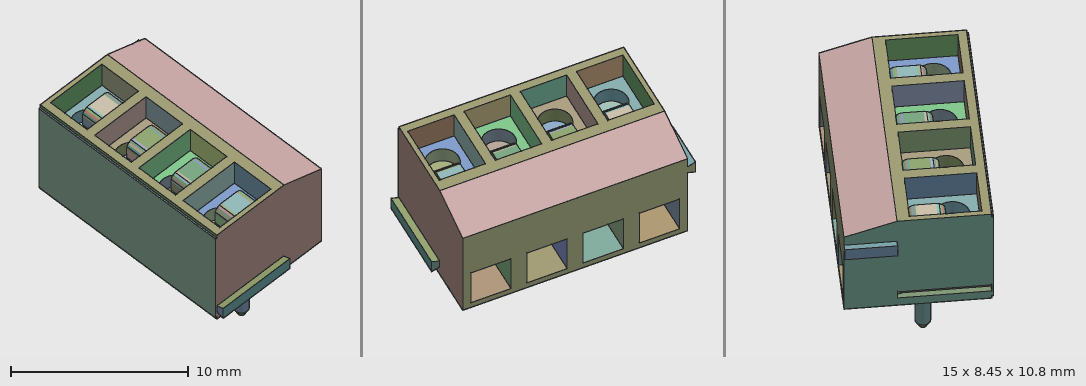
import cadquery as cq
import math


POLES = 4
TOTAL_LENGTH = 14.99
RIDGE_DEPTH = 0.5
LENGTH = TOTAL_LENGTH - 2 * RIDGE_DEPTH
PITCH = LENGTH / POLES
TOTAL_DEPTH = 8.45
HEIGHT = 7.06
SLOPE_RUN = 3
SLOPE_DROP = 1.0

PANEL_THICKNESS = 0.1
PANEL_BOTTOM_MARGIN = 0.2
PANEL_TOP_MARGIN = 0.24

POCKET_WIDTH = 2.9
POCKET_FRONT_WALL = 0.63
POCKET_LENGTH = 4.09
POCKET_DEPTH = 1.77
WELL_DIAMETER = 2.01
WELL_DEPTH = 1.0
WELL_Y = 2.15

CLAMP_WIDTH = 1.51
CLAMP_FRONT = 2.47
CLAMP_FLAT_LENGTH = 1.18
CLAMP_RISE = 0.22
CLAMP_RADIUS = 0.51
FRONT_FACETS = 5
BACK_FACETS = 4

RIDGE_ROOT = 0.51
RIDGE_TIP = 0.84
UPPER_RIDGE_Z = 5.13
LOWER_RIDGE_Z = 0.87
SLOT_MOUTH = 0.51
SLOT_BOTTOM = 0.87
SLOT_DEPTH = 0.52
INTERLOCK_GAP = 0.03

OPENING_SIZE = 2.5
OPENING_DEPTH = 3.27
OPENING_FLOOR = 0.4

PIN_RADIUS = 0.45
PIN_TIP_RADIUS = 0.2
PIN_TIP_LENGTH = 0.5
PIN_LENGTH = 3.78
PIN_Y = 3.82

HALF_LENGTH = LENGTH / 2
BACK = TOTAL_DEPTH
RIDGE_LINE_Y = BACK - SLOPE_RUN
POCKET_FLOOR = HEIGHT - POCKET_DEPTH
POLE_XS = [(i - (POLES - 1) / 2) * PITCH for i in range(POLES)]


def box(width, depth, height, x_center, y_front, z_bottom):
    """Box centred in X, placed by its front face and its bottom."""
    solid = cq.Workplane("XY").box(width, depth, height, centered=(True, False, False))
    return solid.translate((x_center, y_front, z_bottom))


def dovetail(x_near, near_height, x_far, far_height, z_center, y_front, y_back):
    """Bar along Y with a trapezoid section, near_height tall at x_near and far_height at x_far."""
    section = [
        (x_near, z_center - near_height / 2),
        (x_far, z_center - far_height / 2),
        (x_far, z_center + far_height / 2),
        (x_near, z_center + near_height / 2),
    ]
    bar = cq.Workplane("XZ").polyline(section).close().extrude(y_front - y_back)
    return bar.translate((0, y_front, 0))


def make_housing():
    """Prism with a sloped rear top edge."""
    profile = [
        (PANEL_THICKNESS, 0),
        (BACK, 0),
        (BACK, HEIGHT - SLOPE_DROP),
        (RIDGE_LINE_Y, HEIGHT),
        (PANEL_THICKNESS, HEIGHT),
    ]
    return cq.Workplane("YZ").polyline(profile).close().extrude(HALF_LENGTH, both=True)


def make_panel():
    panel_height = HEIGHT - PANEL_BOTTOM_MARGIN - PANEL_TOP_MARGIN
    return box(LENGTH, PANEL_THICKNESS, panel_height, 0, 0, PANEL_BOTTOM_MARGIN)


def make_pocket(x):
    """Screw pocket together with the well in its floor."""
    pocket = box(POCKET_WIDTH, POCKET_LENGTH, POCKET_DEPTH, x, POCKET_FRONT_WALL, POCKET_FLOOR)
    well = cq.Workplane("XY").circle(WELL_DIAMETER / 2).extrude(WELL_DEPTH)
    return pocket.union(well.translate((x, WELL_Y, POCKET_FLOOR - WELL_DEPTH)))


def faceted_arc(y_center, z_center, start_angle, end_angle, facets):
    """Points of a clamp curve, with angles measured from vertical and positive toward +Y."""
    step = (end_angle - start_angle) / facets
    angles = [start_angle + i * step for i in range(facets + 1)]
    return [
        (y_center + CLAMP_RADIUS * math.sin(a), z_center + CLAMP_RADIUS * math.cos(a))
        for a in angles
    ]


def make_clamp(x):
    """Clamp block standing on the bottom of the well.

    The front curve turns a full quarter down into the well. The back curve ends at the pocket floor.
    """
    z_center = POCKET_FLOOR + CLAMP_RISE - CLAMP_RADIUS
    y_front_curve = CLAMP_FRONT + CLAMP_RADIUS
    y_back_curve = y_front_curve + CLAMP_FLAT_LENGTH
    floor_angle = math.acos(1 - CLAMP_RISE / CLAMP_RADIUS)
    front_curve = faceted_arc(y_front_curve, z_center, -math.pi / 2, 0, FRONT_FACETS)
    back_curve = faceted_arc(y_back_curve, z_center, 0, floor_angle, BACK_FACETS)
    y_back = back_curve[-1][0]
    well_bottom = POCKET_FLOOR - WELL_DEPTH
    profile = [(CLAMP_FRONT, well_bottom)] + front_curve + back_curve + [(y_back, well_bottom)]
    clamp = cq.Workplane("YZ").polyline(profile).close().extrude(CLAMP_WIDTH / 2, both=True)
    return clamp.translate((x, 0, 0))


def make_opening(x):
    return box(OPENING_SIZE, OPENING_DEPTH, OPENING_SIZE, x, BACK - OPENING_DEPTH, OPENING_FLOOR)


def make_pin(x):
    """Round pin with a blunt conical tip."""
    half_profile = [
        (0, 0),
        (PIN_RADIUS, 0),
        (PIN_RADIUS, PIN_TIP_LENGTH - PIN_LENGTH),
        (PIN_TIP_RADIUS, -PIN_LENGTH),
        (0, -PIN_LENGTH),
    ]
    pin = cq.Workplane("XZ").polyline(half_profile).close().revolve(360, (0, 0, 0), (0, 1, 0))
    return pin.translate((x, PIN_Y, 0))


upper_ridge = dovetail(
    -HALF_LENGTH, RIDGE_ROOT, -HALF_LENGTH - RIDGE_DEPTH, RIDGE_TIP,
    UPPER_RIDGE_Z, RIDGE_LINE_Y, BACK,
)
lower_ridge = dovetail(
    HALF_LENGTH, RIDGE_ROOT, HALF_LENGTH + RIDGE_DEPTH, RIDGE_TIP,
    LOWER_RIDGE_Z, PANEL_THICKNESS, RIDGE_LINE_Y - INTERLOCK_GAP,
)
slot = dovetail(
    -HALF_LENGTH, SLOT_MOUTH, -HALF_LENGTH + SLOT_DEPTH, SLOT_BOTTOM,
    LOWER_RIDGE_Z, PANEL_THICKNESS, RIDGE_LINE_Y - INTERLOCK_GAP,
)

block = make_housing().union(make_panel()).union(upper_ridge).union(lower_ridge).cut(slot)
for pole_x in POLE_XS:
    block = block.cut(make_pocket(pole_x)).cut(make_opening(pole_x))
    block = block.union(make_clamp(pole_x)).union(make_pin(pole_x))

result = block